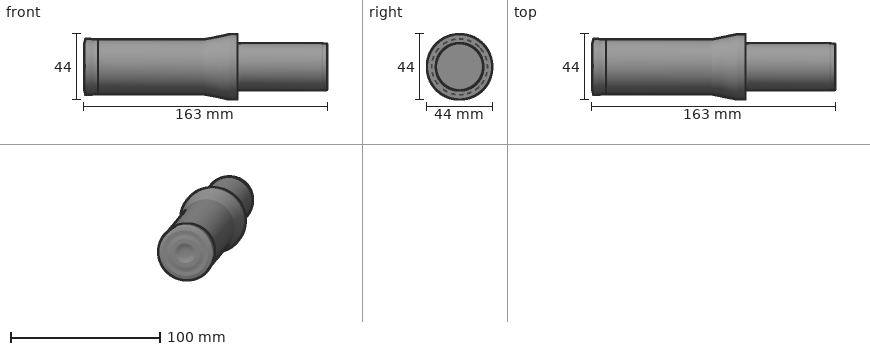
import cadquery as cq
import math


SHOULDER_END = 4.1
GROOVE_BOTTOM = 6.95
JOINT = 9.4
RIM_END = 9.7
RIM_FOOT = 10.55
FLARE_START = 80.4
FLARE_END = 97.6
FLANGE_END = 102.9
NECK_RAMP_START = 103.8
SHANK_START = 104.8
SHANK_END = 159.4
PILOT_START = 160.0
TOTAL_LENGTH = 163.0

BARREL_RADIUS = 37.0 / 2
FLANGE_RADIUS = 44.0 / 2
SHANK_RADIUS = 32.0 / 2
PILOT_RADIUS = 31.5 / 2
SHOULDER_RADIUS = BARREL_RADIUS + 0.45
SHOULDER_END_RADIUS = BARREL_RADIUS + 0.35
GROOVE_RADIUS = BARREL_RADIUS - 0.05
RIM_RADIUS = BARREL_RADIUS + 0.1

CENTRE_RADIUS = 1.15
RECESS_FLOOR_RADIUS = 3.85
LAND_INNER_RADIUS = 6.8
LAND_OUTER_RADIUS = 9.9
VALLEY_RADIUS = 12.7
CREST_RADIUS = 15.6

CENTRE_DEPTH = 1.0
RECESS_DEPTH = 0.85
VALLEY_DEPTH = 0.43
CREST_DEPTH = 0.25
FACE_EDGE_DEPTH = 1.0

CENTRE_BLEND = 0.25
RECESS_BLEND = 0.55
LAND_BLEND = 0.25
VALLEY_BLEND = 0.6
FACE_EDGE_BLEND = 0.7
GROOVE_BLEND = 0.75
RIM_BLEND = 0.84
FLARE_BLEND = 0.5
FLANGE_BLEND = 0.5
RAMP_BLEND = 0.25
END_BLEND = 1.1


def turned_body(corners):
    """Revolve a closed half profile about X.

    Corners run from axis to axis. Each is (X, radius) or (X, radius, blend).
    A blend turns the corner into a tangent arc.
    """
    profile = cq.Workplane("XY").moveTo(*corners[0][:2])
    for index in range(1, len(corners)):
        corner = cq.Vector(*corners[index][:2])
        if len(corners[index]) == 2:
            profile = profile.lineTo(corner.x, corner.y)
            continue
        blend = corners[index][2]
        back = (cq.Vector(*corners[index - 1][:2]) - corner).normalized()
        ahead = (cq.Vector(*corners[index + 1][:2]) - corner).normalized()
        half_angle = back.getAngle(ahead) / 2
        arc_radius = blend * math.tan(half_angle)
        arc_start = corner + back * blend
        arc_middle = corner + (back + ahead).normalized() * arc_radius * (1 / math.sin(half_angle) - 1)
        arc_end = corner + ahead * blend
        profile = profile.lineTo(arc_start.x, arc_start.y)
        profile = profile.threePointArc((arc_middle.x, arc_middle.y), (arc_end.x, arc_end.y))
    return profile.close().revolve(360, (0, 0, 0), (1, 0, 0))


def make_nose():
    face_rings = [
        (CENTRE_DEPTH, 0),
        (CENTRE_DEPTH, CENTRE_RADIUS, CENTRE_BLEND),
        (RECESS_DEPTH, RECESS_FLOOR_RADIUS, RECESS_BLEND),
        (0, LAND_INNER_RADIUS),
        (0, LAND_OUTER_RADIUS, LAND_BLEND),
        (VALLEY_DEPTH, VALLEY_RADIUS, VALLEY_BLEND),
        (CREST_DEPTH, CREST_RADIUS),
    ]
    side = [
        (FACE_EDGE_DEPTH, SHOULDER_RADIUS, FACE_EDGE_BLEND),
        (SHOULDER_END, SHOULDER_END_RADIUS),
        (GROOVE_BOTTOM, GROOVE_RADIUS, GROOVE_BLEND),
        (JOINT, RIM_RADIUS),
        (JOINT, 0),
    ]
    return turned_body(face_rings + side)


def make_shaft():
    barrel_and_flange = [
        (JOINT, 0),
        (JOINT, RIM_RADIUS),
        (RIM_END, RIM_RADIUS),
        (RIM_FOOT, BARREL_RADIUS, RIM_BLEND),
        (FLARE_START, BARREL_RADIUS, FLARE_BLEND),
        (FLARE_END, FLANGE_RADIUS, FLARE_BLEND),
        (FLANGE_END, FLANGE_RADIUS, FLANGE_BLEND),
    ]
    shank = [
        (FLANGE_END, PILOT_RADIUS, RAMP_BLEND),
        (NECK_RAMP_START, PILOT_RADIUS, RAMP_BLEND),
        (SHANK_START, SHANK_RADIUS, RAMP_BLEND),
        (SHANK_END, SHANK_RADIUS, RAMP_BLEND),
        (PILOT_START, PILOT_RADIUS, RAMP_BLEND),
        (TOTAL_LENGTH, PILOT_RADIUS, END_BLEND),
        (TOTAL_LENGTH, 0),
    ]
    return turned_body(barrel_and_flange + shank)


nose = make_nose()
shaft = make_shaft()
result = cq.Compound.makeCompound([nose.val(), shaft.val()])